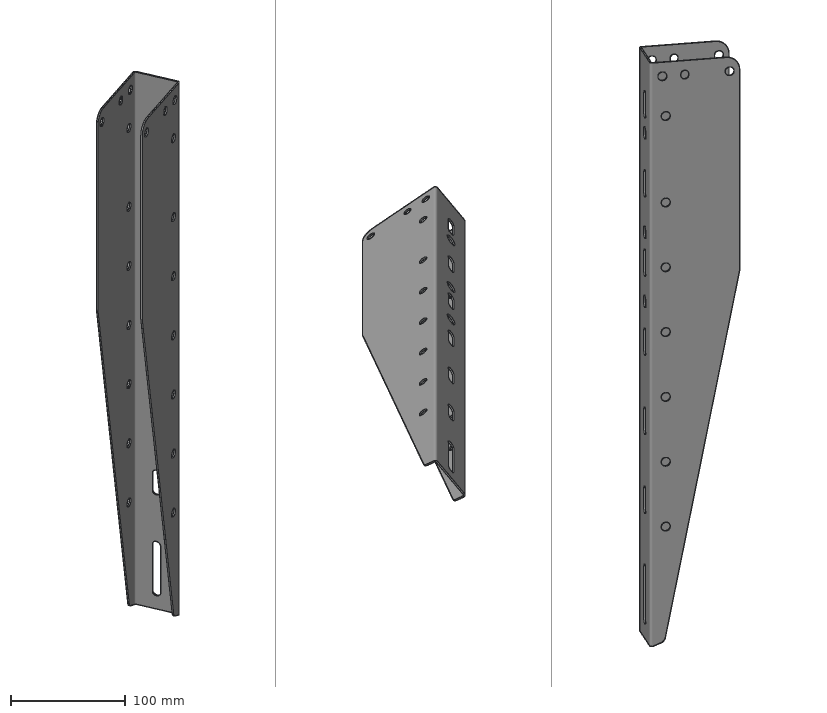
import cadquery as cq

width = 44.0
flange_depth = 80.0
height = 540.0
sheet = 1.5
inner_bend_radius = 1.0
outer_bend_radius = inner_bend_radius + sheet

top_z = height / 2
bottom_z = -height / 2
back_y = flange_depth / 2
front_y = -flange_depth / 2
half_width = width / 2

corner_radius = 12.0
straight_length = 198.0
tip_setback = 13.0
tip_rise = 4.0
tip_radius = 6.0

slot_width = 8.0
slot_length = 25.0
slot_count = 6
slot_pitch = 73.2
first_slot_depth = 45.7
long_slot_length = 55.0
long_slot_depth = 499.0
web_hole_diameter = 11.0
web_hole_depths = (72.0, 164.0, 228.0)

flange_hole_diameter = 8.0
top_row_depth = 13.0
top_row_setbacks = (11.0, 71.0)
top_slot_setback = 31.0
top_slot_width = 7.0
top_slot_length = 8.0
column_setback = 14.0
upper_hole_depth = 50.0
column_start_depth = 130.0
column_pitch = 60.0
column_count = 6


def channel():
    """Full-height U channel, open toward -Y, with rounded bends."""
    block = cq.Workplane("XY").box(width, flange_depth, height)
    block = block.edges("|Z and >Y").fillet(outer_bend_radius)
    cavity = (
        cq.Workplane("XY")
        .box(width - 2 * sheet, flange_depth, height)
        .edges("|Z and >Y")
        .fillet(inner_bend_radius)
        .translate((0, -sheet, 0))
    )
    return block.cut(cavity)


def flange_profile():
    """Side outline with rounded front corner and tip, extruded across the full width."""
    tip_y = back_y - tip_setback
    outline = (
        cq.Workplane("YZ")
        .moveTo(back_y, top_z)
        .lineTo(front_y, top_z)
        .lineTo(front_y, top_z - straight_length)
        .lineTo(tip_y, bottom_z + tip_rise)
        .lineTo(back_y - outer_bend_radius, bottom_z)
        .lineTo(back_y, bottom_z)
        .close()
        .extrude(half_width, both=True)
    )
    corner_edge = cq.selectors.NearestToPointSelector((0, front_y, top_z))
    outline = outline.edges("|X").edges(corner_edge).fillet(corner_radius)
    tip_edge = cq.selectors.NearestToPointSelector((0, tip_y, bottom_z + tip_rise))
    return outline.edges("|X").edges(tip_edge).fillet(tip_radius)


def web_slot(depth, length):
    """Cutter for a vertical round-ended slot on the web centreline."""
    return (
        cq.Workplane("XZ", origin=(0, back_y, top_z - depth))
        .slot2D(length, slot_width, 90)
        .extrude(sheet)
    )


def web_hole(depth):
    """Cutter for a round hole on the web centreline."""
    return (
        cq.Workplane("XZ", origin=(0, back_y, top_z - depth))
        .circle(web_hole_diameter / 2)
        .extrude(sheet)
    )


def flange_plane(setback, depth):
    """Workplane facing +X on the symmetry plane between the flanges."""
    return cq.Workplane("YZ", origin=(0, back_y - setback, top_z - depth))


def flange_hole(setback, depth):
    """Cutter for a round hole through both flanges."""
    return (
        flange_plane(setback, depth)
        .circle(flange_hole_diameter / 2)
        .extrude(half_width, both=True)
    )


def flange_slot(setback, depth):
    """Cutter for the short vertical slot through both flanges."""
    return (
        flange_plane(setback, depth)
        .slot2D(top_slot_length, top_slot_width, 90)
        .extrude(half_width, both=True)
    )


result = channel().intersect(flange_profile())

for index in range(slot_count):
    result = result.cut(web_slot(first_slot_depth + index * slot_pitch, slot_length))
result = result.cut(web_slot(long_slot_depth, long_slot_length))
for hole_depth in web_hole_depths:
    result = result.cut(web_hole(hole_depth))

for setback in top_row_setbacks:
    result = result.cut(flange_hole(setback, top_row_depth))
result = result.cut(flange_slot(top_slot_setback, top_row_depth))
result = result.cut(flange_hole(column_setback, upper_hole_depth))
for index in range(column_count):
    result = result.cut(flange_hole(column_setback, column_start_depth + index * column_pitch))